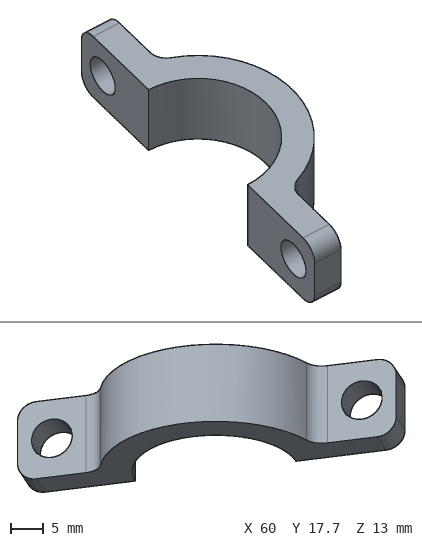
import cadquery as cq

length = 60.0
width = 13.0
outer_radius = 17.7
thickness = 5.0
root_fillet = 3.0
corner_radius = 3.0
hole_diameter = 6.4
hole_spacing = 49.1

inner_radius = outer_radius - thickness


def half_disc(radius):
    """Half cylinder on the +Y side, centred on the Z axis."""
    return (
        cq.Workplane("XY")
        .workplane(offset=-width / 2)
        .moveTo(-radius, 0)
        .threePointArc((0, radius), (radius, 0))
        .close()
        .extrude(width)
    )


strip = (
    cq.Workplane("XY")
    .box(length, thickness, width, centered=(True, False, True))
    .edges("|Y")
    .fillet(corner_radius)
)

body = strip.union(half_disc(outer_radius))
root_x = (outer_radius**2 - thickness**2) ** 0.5
for side in (-1, 1):
    root_edge = cq.selectors.NearestToPointSelector((side * root_x, thickness, 0))
    body = body.edges("|Z").edges(root_edge).fillet(root_fillet)

body = body.cut(half_disc(inner_radius))

screw_holes = (
    cq.Workplane("XZ")
    .pushPoints([(-hole_spacing / 2, 0), (hole_spacing / 2, 0)])
    .circle(hole_diameter / 2)
    .extrude(-thickness)
)

result = body.cut(screw_holes)